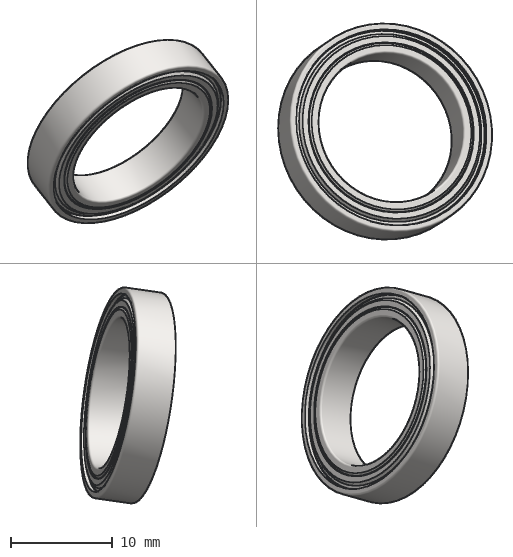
import cadquery as cq
import math

outer_radius = 10.5
bore_radius = 7.5
width = 4.0
edge_fillet = 0.2

recess_wall_radius = 9.87
rim_outer_radius = 9.8
rim_rounding = 0.13
rim_inner_radius = 9.47
rim_depth = 0.35
shield_outer_radius = 9.2
shield_inner_radius = 8.57
shield_depth = 0.06

inner_land_radius = 8.27
inner_cone_radius = 8.5
inner_cone_depth = 0.15

half_width = width / 2
shield_x = half_width - shield_depth
rim_x = half_width - rim_depth
outer_gap_x = rim_x - rim_rounding
inner_gap_x = half_width - inner_cone_depth
rounding_center_radius = rim_outer_radius - rim_rounding
rounding_mid_offset = rim_rounding * math.sin(math.radians(45))


def solid_ring():
    """Plain ring with rounded outer and bore corners."""
    return (
        cq.Workplane("YZ", origin=(-half_width, 0, 0))
        .circle(outer_radius)
        .circle(bore_radius)
        .extrude(width)
        .edges("%CIRCLE")
        .fillet(edge_fillet)
    )


def end_recess():
    """Space removed from the +X end, leaving the shield between the two rings."""
    section = (
        cq.Workplane("XY")
        .moveTo(half_width, inner_land_radius)
        .lineTo(inner_gap_x, inner_cone_radius)
        .lineTo(inner_gap_x, shield_inner_radius)
        .lineTo(shield_x, shield_inner_radius)
        .lineTo(shield_x, shield_outer_radius)
        .lineTo(rim_x, rim_inner_radius)
        .lineTo(rim_x, rounding_center_radius)
        .threePointArc(
            (outer_gap_x + rounding_mid_offset, rounding_center_radius + rounding_mid_offset),
            (outer_gap_x, rim_outer_radius),
        )
        .lineTo(outer_gap_x, recess_wall_radius)
        .lineTo(half_width, recess_wall_radius)
        .close()
    )
    return section.revolve(360, (0, 0, 0), (1, 0, 0))


recess = end_recess()
result = solid_ring().cut(recess).cut(recess.mirror("YZ"))